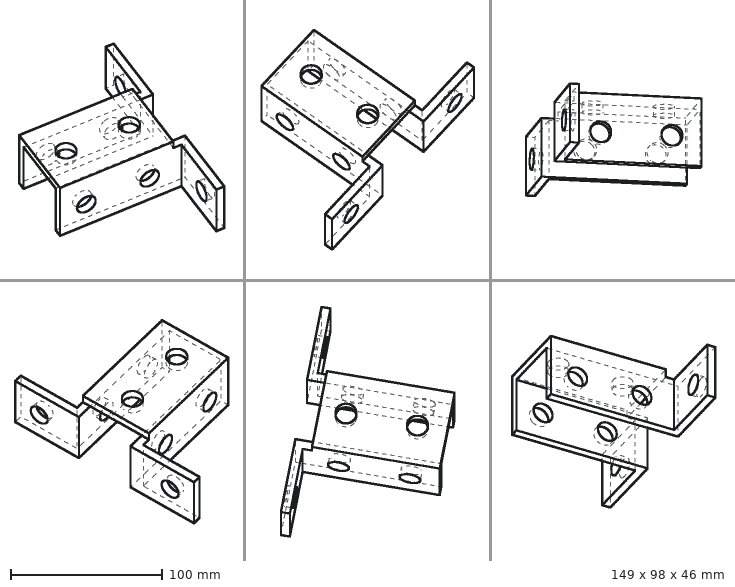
import cadquery as cq

span = 149.0
depth = 98.0
height = 46.0

thickness = 6.1
channel_width = 55.1
roof_setback = 2 * thickness
wall_height = height - thickness
channel_gap = channel_width - 2 * thickness

hole_diameter = 14.0
hole_edge_distance = 20.0
hole_pitch = 48.0
hole_height = wall_height / 2
hole_rows = [hole_edge_distance, hole_edge_distance + hole_pitch]


def block(x_size, y_size, z_size, y_start=0.0, z_start=0.0):
    """Box centred on X, starting at the given Y and Z."""
    return (
        cq.Workplane("XY")
        .box(x_size, y_size, z_size, centered=(True, False, False))
        .translate((0, y_start, z_start))
    )


def bracket_body():
    """Inverted channel with a flange turned outward at the back of each wall."""
    walls = block(channel_width, depth, wall_height)
    roof = block(channel_width, depth - roof_setback, thickness, z_start=wall_height)
    flanges = block(span, thickness, wall_height, y_start=depth - thickness)
    gap = block(channel_gap, depth, wall_height)
    return walls.union(roof).union(flanges).cut(gap)


def roof_holes():
    """Vertical holes along the centre of the roof."""
    return (
        cq.Workplane("XY")
        .pushPoints([(0, y) for y in hole_rows])
        .circle(hole_diameter / 2)
        .extrude(height)
    )


def wall_holes():
    """Cross holes through both channel walls."""
    return (
        cq.Workplane("YZ")
        .pushPoints([(y, hole_height) for y in hole_rows])
        .circle(hole_diameter / 2)
        .extrude(channel_width, both=True)
    )


def flange_holes():
    """One hole through each flange, along Y."""
    hole_x = span / 2 - hole_edge_distance
    return (
        cq.Workplane("XZ")
        .pushPoints([(-hole_x, hole_height), (hole_x, hole_height)])
        .circle(hole_diameter / 2)
        .extrude(-depth)
    )


result = bracket_body().cut(roof_holes()).cut(wall_holes()).cut(flange_holes())